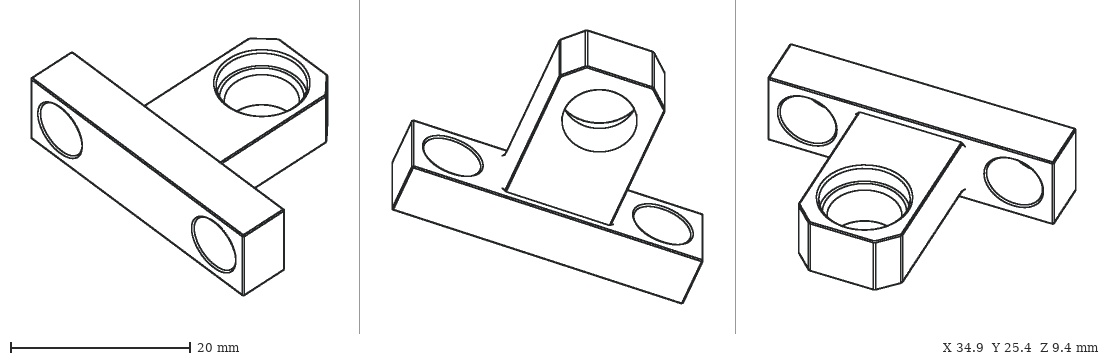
import cadquery as cq

BAR_LENGTH = 34.92
BAR_DEPTH = 6.35
BAR_HEIGHT = 9.4

TOTAL_DEPTH = 25.4
ARM_WIDTH = 12.7
ARM_HEIGHT = 7.4
TIP_CHAMFER = 2.35
ROOT_FILLET = 0.3

EDGE_BREAK = 0.15

BORE_TO_TIP = 6.32
BORE_DIAMETER = 8.38
SEAT_DIAMETER = 9.43
COUNTERBORE_DIAMETER = 10.2
COUNTERBORE_DEPTH = 2.2
BORE_MOUTH_DIAMETER = 10.75

MOUNT_SPACING = 25.2
MOUNT_SLOT_HEIGHT = 6.65
MOUNT_SLOT_TRAVEL = 0.2
MOUNT_MOUTH_HEIGHT = 7.05


def make_crossbar():
    """Rectangular bar with all its edges broken."""
    bar = cq.Workplane("XY").box(BAR_LENGTH, BAR_DEPTH, BAR_HEIGHT)
    return bar.edges().chamfer(EDGE_BREAK).translate((0, BAR_DEPTH / 2, 0))


def make_arm():
    """Flat arm with cut tip corners, reaching into the crossbar."""
    start = BAR_DEPTH / 2
    length = TOTAL_DEPTH - start
    arm = (
        cq.Workplane("XY")
        .box(ARM_WIDTH, length, ARM_HEIGHT)
        .translate((0, start + length / 2, 0))
    )
    arm = arm.edges("|Z and >Y").chamfer(TIP_CHAMFER)
    return arm.edges().edges("not <Y").chamfer(EDGE_BREAK)


def fillet_arm_root(body):
    """Round the two vertical corners where the arm meets the crossbar."""
    reach = ARM_WIDTH / 2 + ROOT_FILLET
    root = cq.selectors.BoxSelector(
        (-reach, BAR_DEPTH - ROOT_FILLET, -ARM_HEIGHT / 2),
        (reach, BAR_DEPTH + ROOT_FILLET, ARM_HEIGHT / 2),
    )
    return body.edges("|Z").edges(root).fillet(ROOT_FILLET)


def make_arm_bore():
    """Revolved cutter: mouth chamfer, counterbore, countersunk seat and through bore."""
    top = ARM_HEIGHT / 2
    bore_radius = BORE_DIAMETER / 2
    seat_radius = SEAT_DIAMETER / 2
    counterbore_radius = COUNTERBORE_DIAMETER / 2
    mouth_radius = BORE_MOUTH_DIAMETER / 2
    floor = top - COUNTERBORE_DEPTH
    profile = [
        (0, -top),
        (bore_radius, -top),
        (bore_radius, floor - (seat_radius - bore_radius)),
        (seat_radius, floor),
        (counterbore_radius, floor),
        (counterbore_radius, top - (mouth_radius - counterbore_radius)),
        (mouth_radius, top),
        (0, top),
    ]
    cutter = cq.Workplane("XZ").polyline(profile).close().revolve(360, (0, 0, 0), (0, 1, 0))
    return cutter.translate((0, TOTAL_DEPTH - BORE_TO_TIP, 0))


def make_mount_slot(x):
    """Cutter along Y for a slot slightly longer in X, flared at both faces of the crossbar."""
    slot = (
        cq.Workplane("XZ")
        .slot2D(MOUNT_SLOT_HEIGHT + MOUNT_SLOT_TRAVEL, MOUNT_SLOT_HEIGHT)
        .extrude(-BAR_DEPTH)
    )
    flare = (
        cq.Workplane("XZ")
        .slot2D(MOUNT_MOUTH_HEIGHT + MOUNT_SLOT_TRAVEL, MOUNT_MOUTH_HEIGHT)
        .extrude(-(MOUNT_MOUTH_HEIGHT - MOUNT_SLOT_HEIGHT) / 2, taper=45)
    )
    back_flare = flare.mirror("XZ").translate((0, BAR_DEPTH, 0))
    return slot.union(flare).union(back_flare).translate((x, 0, 0))


body = fillet_arm_root(make_crossbar().union(make_arm()))
body = body.cut(make_arm_bore())
for side in (-1, 1):
    body = body.cut(make_mount_slot(side * MOUNT_SPACING / 2))

result = body